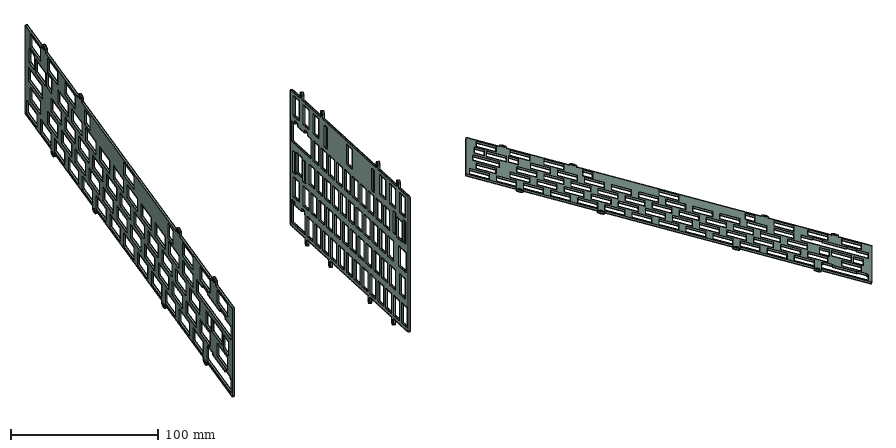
import cadquery as cq

length = 285.8
columns = 15
rows = 5
pitch = length / columns
quarter = pitch / 4
height = rows * pitch
thickness = 1.5
plate_radius = 1.0

switch_size = 14.0
cutout_radius = 0.51
stabilizer_width = switch_size / 2
stabilizer_height = 15.1
stabilizer_shift = 1.51
short_stabilizer_reach = 12.0
space_stabilizer_reach = 3 * pitch

total_height = 105.2
tab_reach = (total_height - height) / 2
tab_radius = 2.51
tab_hole_diameter = 2.5
top_tab_offsets = (67.5, 117.0)
bottom_tab_offsets = (2.5 * pitch, 5.5 * pitch)

key_rows = [
    [6, 4, 6, 28, 6, 4, 6],
    [9] + [4] * 10 + [11],
    [7] + [4] * 11 + [9],
    [6] + [4] * 12 + [6],
    [4] * 13 + [8],
]
space_bar_width = 28
shortest_stabilized_width = 8

split_keys = [(1, 11), (4, 13)]
stepped_key = (2, 0)
stabilizer_direction = {0: -1, 1: 1, 2: -1, 4: 1}


def list_keys():
    """Return (row, place, x, z, width in quarter units) for every key centre."""
    keys = []
    for row, widths in enumerate(key_rows):
        z = height / 2 - (row + 0.5) * pitch
        left = -length / 2
        for place, width in enumerate(widths):
            keys.append((row, place, left + width * quarter / 2, z, width))
            left += width * quarter
    return keys


def slabs(centres, width, depth, radius):
    """Rounded rectangular blocks as thick as the plate, at the given x, z centres."""
    outlines = cq.Workplane("XZ").pushPoints(centres).rect(width, depth)
    return outlines.extrude(thickness / 2, both=True).edges("|Y").fillet(radius)


def discs(centres, diameter):
    """Discs as thick as the plate, at the given x, z centres."""
    outlines = cq.Workplane("XZ").pushPoints(centres).circle(diameter / 2)
    return outlines.extrude(thickness / 2, both=True)


def add_tabs(plate, offsets, side):
    """Add round-ended screw tabs to the upper (side = 1) or lower (side = -1) edge."""
    tab_width = 2 * tab_radius
    end_z = side * (height / 2 + tab_reach - tab_radius)
    root_z = end_z - side * tab_radius
    places = [sign * offset for offset in offsets for sign in (-1, 1)]
    ends = [(x, end_z) for x in places]
    roots = cq.Workplane("XZ").pushPoints([(x, root_z) for x in places]).rect(tab_width, tab_width)
    plate = plate.union(roots.extrude(thickness / 2, both=True))
    return plate.union(discs(ends, tab_width)).cut(discs(ends, tab_hole_diameter))


def cut_switches(plate, keys):
    """Cut a square opening for every key that has a single switch position."""
    wide_keys = split_keys + [stepped_key]
    centres = [(x, z) for row, place, x, z, _ in keys if (row, place) not in wide_keys]
    return plate.cut(slabs(centres, switch_size, switch_size, cutout_radius))


def cut_wide_openings(plate, keys):
    """Cut the wide openings of the split keys and the stepped key."""
    for row, place, x, z, width in keys:
        if (row, place) in split_keys:
            opening = width * quarter - pitch + switch_size
            plate = plate.cut(slabs([(x, z)], opening, switch_size, cutout_radius))
        elif (row, place) == stepped_key:
            opening = quarter + switch_size
            plate = plate.cut(slabs([(x - quarter / 2, z)], opening, switch_size, cutout_radius))
    return plate


def cut_stabilizers(plate, keys):
    """Cut a pair of stabilizer openings beside the centre of each long key."""
    for row, _, x, z, width in keys:
        if width < shortest_stabilized_width:
            continue
        reach = space_stabilizer_reach if width == space_bar_width else short_stabilizer_reach
        shifted_z = z + stabilizer_direction[row] * stabilizer_shift
        centres = [(x - reach, shifted_z), (x + reach, shifted_z)]
        plate = plate.cut(slabs(centres, stabilizer_width, stabilizer_height, cutout_radius))
    return plate


all_keys = list_keys()
result = slabs([(0, 0)], length, height, plate_radius)
result = add_tabs(result, top_tab_offsets, 1)
result = add_tabs(result, bottom_tab_offsets, -1)
result = cut_switches(result, all_keys)
result = cut_wide_openings(result, all_keys)
result = cut_stabilizers(result, all_keys)